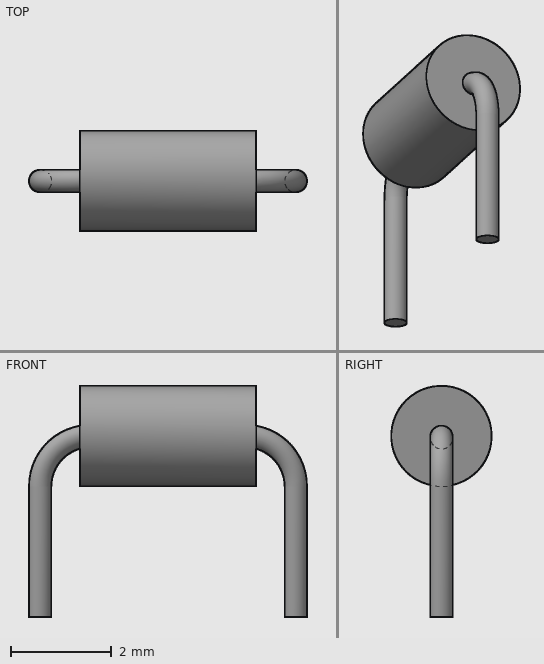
import cadquery as cq

body_diameter = 2.0
body_length = 3.5
lead_diameter = 0.45
lead_pitch = 5.08
bend_radius = 1.0
bend_angle = 90
straight_length = 2.6

lead_x = lead_pitch / 2
axis_height = straight_length + bend_radius


def make_body():
    """Cylinder along X, centred between the leads."""
    return (
        cq.Workplane("YZ", origin=(-body_length / 2, 0, axis_height))
        .circle(body_diameter / 2)
        .extrude(body_length)
    )


def make_lead(side):
    """Vertical wire with a quarter bend that ends inside the body; side is -1 or +1."""
    straight = (
        cq.Workplane("XY", origin=(side * lead_x, 0, 0))
        .circle(lead_diameter / 2)
        .extrude(straight_length)
    )
    inward = -side * bend_radius
    bend = (
        cq.Workplane("XY", origin=(side * lead_x, 0, straight_length))
        .circle(lead_diameter / 2)
        .revolve(bend_angle, (inward, 0, 0), (inward, -side, 0))
    )
    return straight.union(bend)


result = make_body()
for side in (-1, 1):
    result = result.union(make_lead(side))